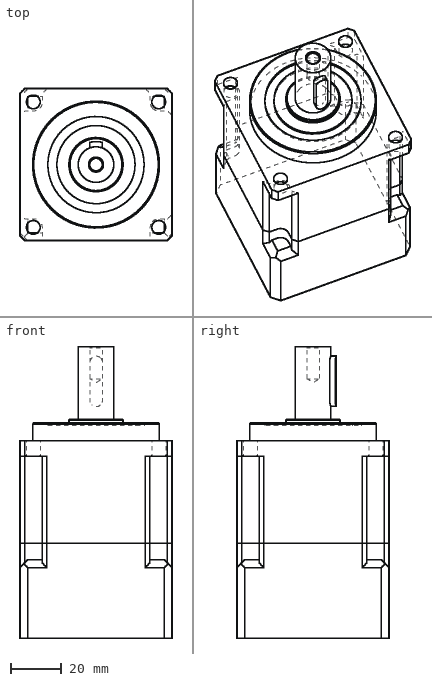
import cadquery as cq
import math

side = 60.0
half_side = side / 2
joint_z = 37.5
base_corner_chamfer = 3.1

channel_bottom_z = 31.0
channel_top_z = 71.9
channel_mouth = 10.6
channel_wall = 8.7
channel_lip = 2.0
channel_radius = 3.3
ledge_chamfer = 3.1

flange_top_z = 78.0
flange_corner_chamfer = 2.0
bolt_hole_diameter = 5.4
bolt_offset = 24.7

pilot_diameter = 50.0
pilot_top_z = 85.0
pilot_chamfer = 0.5
groove_outer_diameter = 38.0
groove_inner_diameter = 30.8
groove_depth = 0.9

shaft_diameter = 14.0
shaft_top_z = 115.0
collar_diameter = 21.4
collar_top_z = 86.5
collar_chamfer = 0.5
center_hole_diameter = 5.0
center_hole_depth = 12.5
center_hole_chamfer = 0.5
drill_point_angle = 118.0

key_width = 5.0
key_length = 19.9
key_center_z = 101.4
key_top_radius = 9.1

CORNERS = [(-1, -1), (1, -1), (1, 1), (-1, 1)]


def square_block(bottom_z, top_z, corner_chamfer):
    """Square prism on the Z axis with chamfered vertical edges."""
    block = cq.Workplane("XY").workplane(offset=bottom_z).rect(side, side).extrude(top_z - bottom_z)
    return block.edges("|Z").chamfer(corner_chamfer)


def disc(diameter, bottom_z, top_z):
    """Round disc on the Z axis."""
    return cq.Workplane("XY").workplane(offset=bottom_z).circle(diameter / 2).extrude(top_z - bottom_z)


def corner_channel(x_sign, y_sign):
    """Cutter for one corner channel: flared lips, straight walls, rounded inner corner, beveled ledge."""
    def at(from_x_face, from_y_face):
        return (x_sign * (half_side - from_x_face), y_sign * (half_side - from_y_face))

    arc_start = channel_wall - channel_radius
    arc_middle = arc_start + channel_radius * math.sqrt(0.5)

    def profile(bottom_z):
        return (
            cq.Workplane("XY").workplane(offset=bottom_z)
            .moveTo(*at(0, 0))
            .lineTo(*at(channel_mouth, 0))
            .lineTo(*at(channel_wall, channel_lip))
            .lineTo(*at(channel_wall, arc_start))
            .threePointArc(at(arc_middle, arc_middle), at(arc_start, channel_wall))
            .lineTo(*at(channel_lip, channel_wall))
            .lineTo(*at(0, channel_mouth))
            .close()
            .extrude(channel_top_z - bottom_z)
        )

    beveled_ledge = (
        cq.Workplane("XY").rect(side, side).extrude(channel_bottom_z)
        .faces(">Z").chamfer(ledge_chamfer)
    )
    return profile(channel_bottom_z - ledge_chamfer).cut(beveled_ledge)


def cut_channels(body):
    for x_sign, y_sign in CORNERS:
        body = body.cut(corner_channel(x_sign, y_sign))
    return body


def make_adapter():
    """Lower housing, from the base up to the joint."""
    return cut_channels(square_block(0, joint_z, base_corner_chamfer))


def make_pilot():
    """Centering pilot with a shallow annular groove in its top."""
    pilot = disc(pilot_diameter, flange_top_z, pilot_top_z).faces(">Z").chamfer(pilot_chamfer)
    groove_floor_z = pilot_top_z - groove_depth
    groove = disc(groove_outer_diameter, groove_floor_z, pilot_top_z).cut(
        disc(groove_inner_diameter, groove_floor_z, pilot_top_z)
    )
    return pilot.cut(groove)


def make_key():
    """Round-ended key on the +Y side of the shaft, its outer face curved about the shaft axis."""
    blank = (
        cq.Workplane("XZ").center(0, key_center_z)
        .slot2D(key_length, key_width, 90)
        .extrude(-key_top_radius)
    )
    return blank.intersect(disc(2 * key_top_radius, pilot_top_z, shaft_top_z))


def center_hole():
    """Cutter for the chamfered blind hole with a drill point in the shaft end."""
    radius = center_hole_diameter / 2
    floor_z = shaft_top_z - center_hole_depth
    tip_z = floor_z - radius / math.tan(math.radians(drill_point_angle / 2))
    return (
        cq.Workplane("XZ")
        .moveTo(0, shaft_top_z)
        .lineTo(radius + center_hole_chamfer, shaft_top_z)
        .lineTo(radius, shaft_top_z - center_hole_chamfer)
        .lineTo(radius, floor_z)
        .lineTo(0, tip_z)
        .close()
        .revolve(360, (0, 0, 0), (0, 1, 0))
    )


def make_shaft():
    collar = disc(collar_diameter, pilot_top_z, collar_top_z).faces(">Z").chamfer(collar_chamfer)
    shaft = disc(shaft_diameter, pilot_top_z, shaft_top_z)
    return shaft.union(collar).union(make_key()).cut(center_hole())


def make_gearbox():
    """Upper housing with flange, pilot and output shaft."""
    housing = cut_channels(square_block(joint_z, flange_top_z, flange_corner_chamfer))
    bolt_holes = (
        cq.Workplane("XY").workplane(offset=channel_top_z)
        .rect(2 * bolt_offset, 2 * bolt_offset, forConstruction=True).vertices()
        .circle(bolt_hole_diameter / 2)
        .extrude(flange_top_z - channel_top_z)
    )
    return housing.cut(bolt_holes).union(make_pilot()).union(make_shaft())


adapter = make_adapter()
gearbox = make_gearbox()

result = cq.Compound.makeCompound([adapter.val(), gearbox.val()])